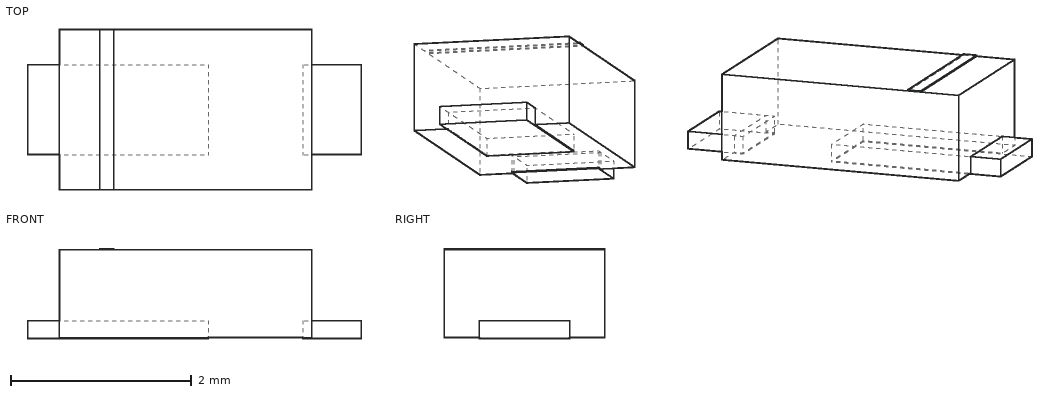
import cadquery as cq

total_length = 3.7
total_height = 1.0

housing_length = 2.8
housing_width = 1.78
standoff = 0.01

lead_width = 1.0
lead_thickness = 0.2
left_lead_length = 2.0
right_lead_length = 0.65
left_lead_overhang = 0.35

band_length = 0.155
band_thickness = 0.01
band_inset = 0.448

left_end = -total_length / 2
right_lead_start = total_length / 2 - right_lead_length
housing_start = left_end + left_lead_overhang
housing_top = total_height - band_thickness
housing_height = housing_top - standoff


def block(x_start, z_start, length, width, height):
    """Box centred on Y, starting at the given X and Z."""
    return (
        cq.Workplane("XY")
        .box(length, width, height, centered=(False, True, False))
        .translate((x_start, 0, z_start))
    )


def make_lead(x_start, length):
    return block(x_start, 0, length, lead_width, lead_thickness)


def make_housing(embedded_leads):
    """Plain block with a matching recess for each lead."""
    body = block(housing_start, standoff, housing_length, housing_width, housing_height)
    for lead in embedded_leads:
        body = body.cut(lead)
    return body


def make_polarity_band():
    return block(
        housing_start + band_inset, housing_top, band_length, housing_width, band_thickness
    )


lead_spans = [(left_end, left_lead_length), (right_lead_start, right_lead_length)]
leads = [make_lead(x_start, length) for x_start, length in lead_spans]
housing = make_housing(leads)
polarity_band = make_polarity_band()

result = cq.Compound.makeCompound(
    [housing.val(), polarity_band.val(), *[lead.val() for lead in leads]]
)